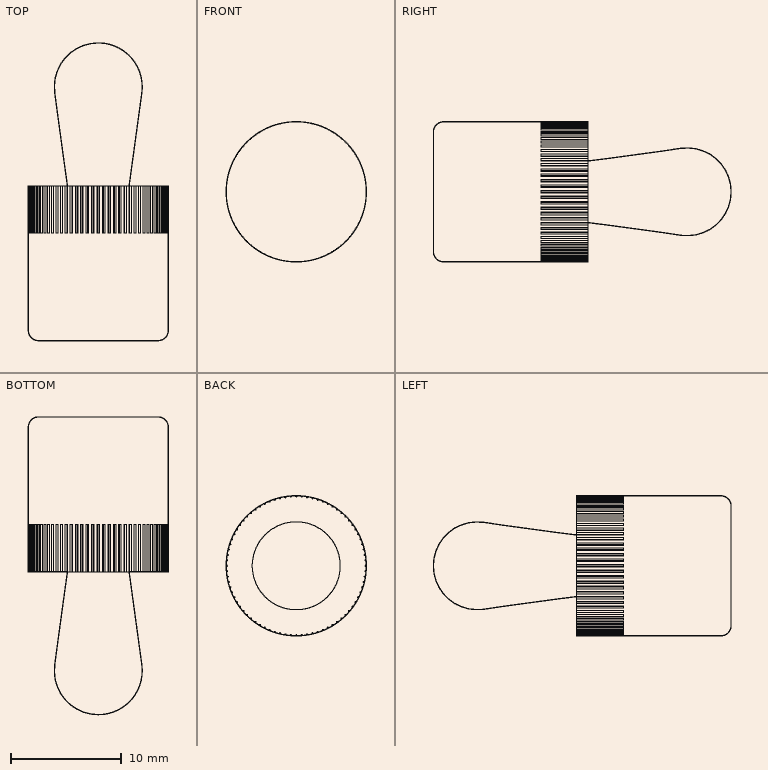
import cadquery as cq
import math

TOTAL_LENGTH = 26.95

HOUSING_LENGTH = 14.01
HOUSING_DIAMETER = 12.7
HOUSING_RADIUS = HOUSING_DIAMETER / 2
FRONT_FILLET = 0.95

KNURL_LENGTH = 4.25
GROOVE_COUNT = 80
GROOVE_WIDTH = 0.25
GROOVE_FLANK_ANGLE = 45.0

BALL_RADIUS = 4.0
PIN_BASE_RADIUS = 2.8


def knurl_groove(index):
    """One V-shaped groove along Y, cut into the rim of the housing."""
    groove_depth = GROOVE_WIDTH / 2 / math.tan(math.radians(GROOVE_FLANK_ANGLE))
    rim_height = math.sqrt(HOUSING_RADIUS**2 - (GROOVE_WIDTH / 2) ** 2)
    groove = (
        cq.Workplane("XZ")
        .moveTo(0, rim_height - groove_depth)
        .lineTo(GROOVE_WIDTH, rim_height + groove_depth)
        .lineTo(-GROOVE_WIDTH, rim_height + groove_depth)
        .close()
        .extrude(KNURL_LENGTH)
    )
    return groove.rotate((0, 0, 0), (0, 1, 0), index * 360 / GROOVE_COUNT).val()


def make_housing():
    """Solid cylinder with a rounded front edge and a knurled band next to the pin."""
    cylinder = cq.Workplane("XZ").circle(HOUSING_RADIUS).extrude(HOUSING_LENGTH)
    rounded = cylinder.faces("<Y").edges().fillet(FRONT_FILLET)
    grooves = [knurl_groove(index) for index in range(GROOVE_COUNT)]
    return cq.Workplane(rounded.val().cut(*grooves).Solids()[0])


def make_pin():
    """Cone that widens away from the housing and runs tangentially into a ball end."""
    tip_y = TOTAL_LENGTH - HOUSING_LENGTH
    ball_y = tip_y - BALL_RADIUS
    rim_distance = math.hypot(ball_y, PIN_BASE_RADIUS)
    lean = math.atan2(ball_y, PIN_BASE_RADIUS) - math.acos(BALL_RADIUS / rim_distance)
    tangent_radius = BALL_RADIUS * math.cos(lean)
    tangent_y = ball_y - BALL_RADIUS * math.sin(lean)
    profile = (
        cq.Workplane("XY")
        .lineTo(PIN_BASE_RADIUS, 0)
        .lineTo(tangent_radius, tangent_y)
        .threePointArc((BALL_RADIUS, ball_y), (0, tip_y))
        .close()
    )
    return profile.revolve(360, (0, 0, 0), (0, 1, 0))


housing = make_housing()
pin = make_pin()
result = cq.Compound.makeCompound([housing.val(), pin.val()])